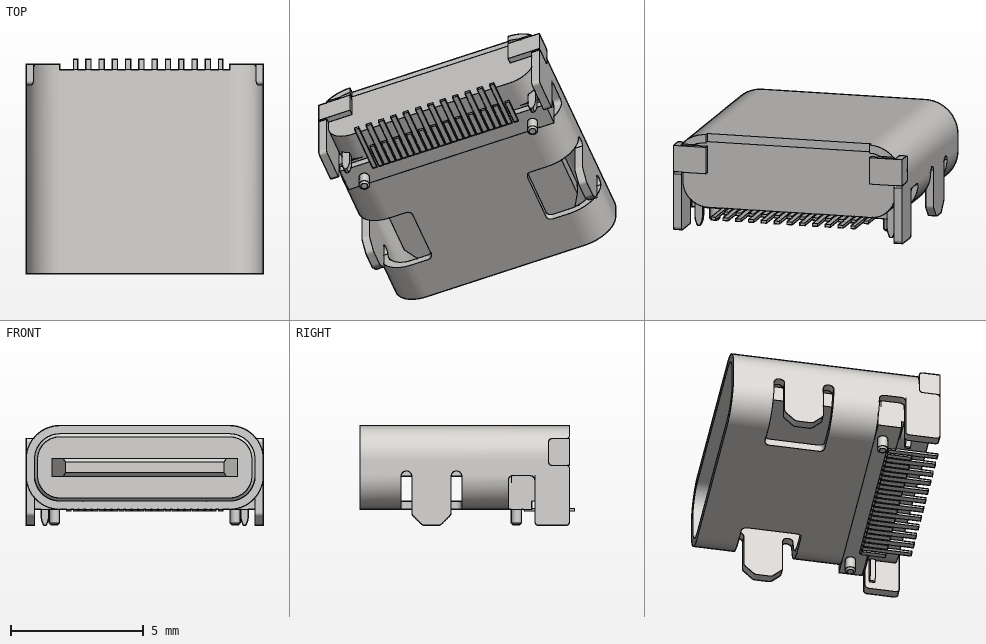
import cadquery as cq


shell_width = 8.94
shell_height = 3.165
shell_length = 7.91
wall = 0.31
outer_radius = 1.27
inner_radius = outer_radius - wall
half_width = shell_width / 2
inner_half_width = half_width - wall
flat_half_width = half_width - outer_radius
mid_height = shell_height / 2
side_flat_bottom = outer_radius
top_notch_depth = 0.215
insulator_back = shell_length - top_notch_depth

leg_drop = 0.61
leg_root_height = mid_height
side_slot_width = 0.4
side_slot_top = 1.45
front_leg_start = 1.96
front_leg_end = 3.44
front_leg_chamfer = 0.41
front_leg_blend = 0.18
floor_notch_half_width = 2.32
floor_notch_radius = 0.2
rear_leg_start = 6.6
rear_leg_radius = 0.14

foot_start = 5.6
foot_back = 6.49
foot_opening_radius = 0.18
rear_underside = wall

ear_bottom = 1.65
ear_top = 2.67
ear_length = 0.8
ear_radius = 0.14
ear_inner_half_width = flat_half_width
ear_start = shell_length - ear_length
notch_mouth_chamfer = 0.08

face_chamfer = 0.12
tongue_half_width = 3.505
tongue_thickness = 0.68
tongue_front = 0.63
tongue_tip_chamfer = 0.14
tongue_side_slope = 0.52
tongue_side_slope_length = 0.89

post_diameter = 0.39
post_x = 3.41
post_y = 5.9
post_drop = 0.58
post_chamfer = 0.07
post_root_height = wall

blade_x = 3.76
blade_width = 0.295
blade_tip_width = 0.09
blade_taper_start = -0.215
blade_start = 6.705
blade_thickness = 0.2
blade_root_height = mid_height

tails_per_row = 12
tail_pitch = 0.5
row_shift = tail_pitch / 4
tail_width = 0.21
end_tail_trim = 0.04
tail_bottom = -0.07
tail_thickness = 0.11
tail_tip_chamfer = 0.07
tail_start = 6.16
rear_tail_end = 8.1
front_tail_end = 7.15


def block(x0, x1, y0, y1, z0, z1):
    """Box between two opposite corners."""
    return cq.Workplane("XY").box(x1 - x0, y1 - y0, z1 - z0, centered=False).translate((x0, y0, z0))


def rounded_bar(half_x, half_z, radius, start, end):
    """Bar along Y with rounded long edges, centred on the shell axis."""
    bar = block(-half_x, half_x, start, end, mid_height - half_z, mid_height + half_z)
    return bar.edges("|Y").fillet(radius)


def both_sides(left):
    """A left-hand shape together with its mirror image on the right."""
    return left.union(left.mirror("YZ"))


def inner_bar(start, end):
    """Filling of the shell tube between two depths."""
    return rounded_bar(inner_half_width, mid_height - wall, inner_radius, start, end)


def foot_opening():
    """Space below the shell sides that the insulator foot fits into."""
    space = block(-half_width, half_width, foot_start, rear_leg_start, 0, side_flat_bottom)
    return space.edges("|X and >Z").fillet(foot_opening_radius)


def rear_opening():
    """Space between the rear legs, where the shell has no floor."""
    return block(-half_width, half_width, rear_leg_start, shell_length, 0, side_flat_bottom)


def side_slot(start):
    """Round-topped slot through both sides of the shell, starting at depth `start`."""
    radius = side_slot_width / 2
    arc_height = side_slot_top - radius
    slot = block(-half_width, half_width, start, start + side_slot_width, -leg_drop, arc_height)
    round_top = (
        cq.Workplane("YZ", origin=(-half_width, start + radius, arc_height))
        .circle(radius)
        .extrude(shell_width)
    )
    slot = slot.union(round_top)
    core = block(-inner_half_width, inner_half_width, 0, shell_length, -leg_drop, shell_height)
    return slot.cut(core)


def front_legs():
    leg = block(-half_width, -inner_half_width, front_leg_start, front_leg_end, -leg_drop, leg_root_height)
    leg = leg.edges("|X and <Z").chamfer(front_leg_chamfer)
    return both_sides(leg.edges("|X").fillet(front_leg_blend))


def rear_legs():
    leg = block(-half_width, -inner_half_width, rear_leg_start, shell_length, -leg_drop, leg_root_height)
    return both_sides(leg.edges("|X and <Z").fillet(rear_leg_radius))


def floor_notches():
    """Cuts that free the front legs from the floor and curved lower corners of the shell."""
    start = front_leg_start - side_slot_width
    end = front_leg_end + side_slot_width
    notch = block(-half_width, -floor_notch_half_width, start, end, 0, side_flat_bottom)
    return both_sides(notch.edges("|Z and >X").fillet(floor_notch_radius))


def ears():
    ear = block(-half_width, -ear_inner_half_width, ear_start, shell_length, ear_bottom, ear_top)
    return both_sides(ear.edges("|X and <Y").fillet(ear_radius))


def ear_notches():
    """Notches in the shell for the ears, flared at the rear mouth."""
    flare = (
        cq.Workplane("YZ", origin=(-half_width, 0, 0))
        .moveTo(shell_length - notch_mouth_chamfer, ear_bottom)
        .lineTo(shell_length, ear_bottom - notch_mouth_chamfer)
        .lineTo(shell_length, ear_top + notch_mouth_chamfer)
        .lineTo(shell_length - notch_mouth_chamfer, ear_top)
        .close()
        .extrude(outer_radius)
    )
    return ears().union(both_sides(flare))


def make_shell():
    shell = rounded_bar(half_width, mid_height, outer_radius, 0, shell_length)
    shell = shell.cut(inner_bar(0, shell_length))
    shell = shell.cut(floor_notches())
    shell = shell.cut(foot_opening()).cut(rear_opening())
    shell = shell.union(front_legs()).union(rear_legs())
    for start in (front_leg_start - side_slot_width, front_leg_end):
        shell = shell.cut(side_slot(start))
    top_notch = block(
        -flat_half_width, flat_half_width, insulator_back, shell_length, mid_height, shell_height
    )
    return shell.cut(top_notch).cut(ear_notches())


def tongue():
    side_start = tongue_front + tongue_side_slope_length
    tip_half_width = tongue_half_width - tongue_side_slope
    plate = (
        cq.Workplane("XY", origin=(0, 0, mid_height - tongue_thickness / 2))
        .moveTo(-tip_half_width, tongue_front)
        .lineTo(tip_half_width, tongue_front)
        .lineTo(tongue_half_width, side_start)
        .lineTo(tongue_half_width, foot_back)
        .lineTo(-tongue_half_width, foot_back)
        .lineTo(-tongue_half_width, side_start)
        .close()
        .extrude(tongue_thickness)
    )
    return plate.faces("<Y").edges("|X").chamfer(tongue_tip_chamfer)


def foot():
    """Lower block around the tube filling, with a raised underside behind `foot_back`."""
    base = block(-inner_half_width, inner_half_width, foot_start, foot_back, 0, side_flat_bottom)
    bridge = block(
        -inner_half_width, inner_half_width, foot_back, rear_leg_start, rear_underside, side_flat_bottom
    )
    return base.union(bridge).intersect(foot_opening()).cut(inner_bar(0, shell_length))


def posts():
    post = cq.Workplane("XY").circle(post_diameter / 2).extrude(-post_drop - post_root_height)
    post = post.faces("<Z").chamfer(post_chamfer).translate((-post_x, post_y, post_root_height))
    return both_sides(post)


def blades():
    half_blade = (
        cq.Workplane("XZ", origin=(0, blade_start + blade_thickness, 0))
        .moveTo(0, blade_root_height)
        .lineTo(blade_width / 2, blade_root_height)
        .lineTo(blade_width / 2, blade_taper_start)
        .tangentArcPoint((blade_tip_width / 2, -leg_drop), relative=False)
        .lineTo(0, -leg_drop)
        .close()
        .extrude(blade_thickness)
    )
    return both_sides(both_sides(half_blade).translate((-blade_x, 0, 0)))


def tail_row(end):
    """Row of contact tails that run back to depth `end`; the outer two are a little narrower."""
    row = cq.Workplane("XY")
    for i in range(tails_per_row):
        x = row_shift + tail_pitch * (i - (tails_per_row - 1) / 2)
        left = x - tail_width / 2
        right = x + tail_width / 2
        if i == 0:
            left += end_tail_trim
        if i == tails_per_row - 1:
            right -= end_tail_trim
        tail = block(left, right, tail_start, end, tail_bottom, tail_bottom + tail_thickness)
        row = row.add(tail.edges("|X and <Y and <Z").chamfer(tail_tip_chamfer))
    return row.combine()


def make_insulator():
    insulator = inner_bar(foot_start, insulator_back).faces("<Y").chamfer(face_chamfer)
    insulator = insulator.union(foot()).union(tongue())
    insulator = insulator.union(ears())
    insulator = insulator.union(posts()).union(blades())
    insulator = insulator.union(tail_row(rear_tail_end))
    return insulator.union(tail_row(front_tail_end).mirror("YZ"))


shell = make_shell()
insulator = make_insulator()
result = cq.Compound.makeCompound([shell.val(), insulator.val()])